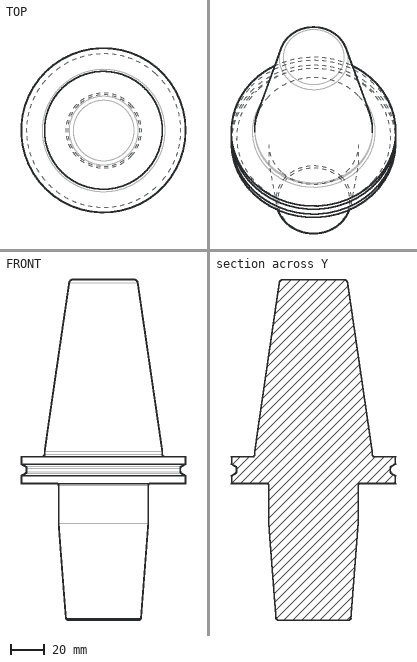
import cadquery as cq

total_height = 201.8
flange_bottom = 81.0
flange_height = 16.0
flange_top = flange_bottom + flange_height

taper_ratio = 7 / 24
gauge_diameter = 69.8
gauge_offset = 3.2
gauge_height = flange_top + gauge_offset
shank_edge_radius = 2.5

shank_root_radius = 1.5
nose_root_radius = 1.0

flange_diameter = 97.5
groove_floor_diameter = 91.2
groove_center = flange_bottom + 8.0
groove_floor_width = 3.5
groove_corner_radius = 1.2
groove_mouth_width = 6.9

nose_diameter = 53.3
nose_cone_top = 57.5
nose_end_diameter = 44.5
nose_chamfer = 1.0


def shank_radius(z):
    """Radius of the steep taper at height z."""
    return (gauge_diameter - taper_ratio * (z - gauge_height)) / 2


def revolve_profile(profile):
    """Spin a closed half-profile around the Z axis."""
    return profile.revolve(360, (0, 0, 0), (0, 1, 0))


def make_nose():
    """Tapered nose that flares through a fillet into the flange."""
    end_radius = nose_end_diameter / 2
    nose_radius = nose_diameter / 2
    profile = (
        cq.Workplane("XZ")
        .lineTo(end_radius - nose_chamfer, 0)
        .lineTo(end_radius, nose_chamfer)
        .lineTo(nose_radius, nose_cone_top)
        .lineTo(nose_radius, flange_bottom - nose_root_radius)
        .radiusArc((nose_radius + nose_root_radius, flange_bottom), nose_root_radius)
        .lineTo(0, flange_bottom)
        .close()
    )
    return revolve_profile(profile)


def make_groove():
    """Ring to be cut from the flange rim, with rounded floor corners."""
    rim_radius = flange_diameter / 2
    floor_radius = groove_floor_diameter / 2
    profile = (
        cq.Workplane("XZ")
        .moveTo(rim_radius, groove_center - groove_mouth_width / 2)
        .lineTo(floor_radius, groove_center - groove_floor_width / 2)
        .lineTo(floor_radius, groove_center + groove_floor_width / 2)
        .lineTo(rim_radius, groove_center + groove_mouth_width / 2)
        .close()
    )
    floor_edges = cq.selectors.RadiusNthSelector(0)
    return revolve_profile(profile).edges(floor_edges).fillet(groove_corner_radius)


def make_flange():
    """Disc with a groove around its rim."""
    disc = (
        cq.Workplane("XY")
        .workplane(offset=flange_bottom)
        .circle(flange_diameter / 2)
        .extrude(flange_height)
    )
    return disc.cut(make_groove())


def make_shank():
    """Steep taper with a rounded top edge and a filleted cylindrical root."""
    gauge_radius = gauge_diameter / 2
    profile = (
        cq.Workplane("XZ")
        .moveTo(0, flange_top)
        .lineTo(gauge_radius + shank_root_radius, flange_top)
        .radiusArc((gauge_radius, flange_top + shank_root_radius), shank_root_radius)
        .lineTo(gauge_radius, gauge_height)
        .lineTo(shank_radius(total_height), total_height)
        .lineTo(0, total_height)
        .close()
    )
    return revolve_profile(profile).faces(">Z").edges().fillet(shank_edge_radius)


result = make_nose().union(make_flange()).union(make_shank())